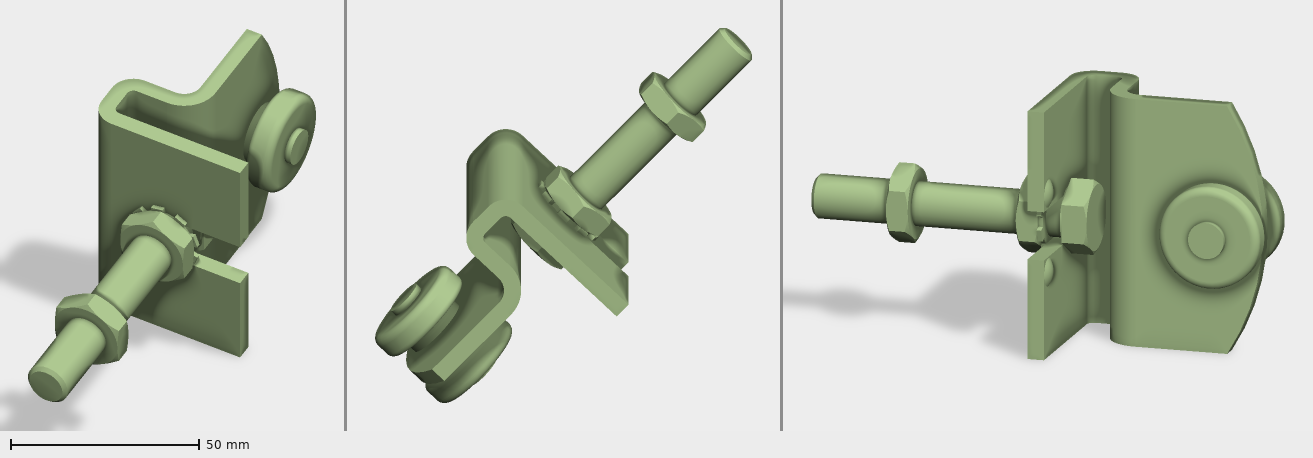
import cadquery as cq
import math


plate_thickness = 4.5
bracket_width = 45.5
bracket_height = 68.0
fold_depth = 18.7
fold_outer_radius = 6.5
fold_inner_radius = fold_outer_radius - plate_thickness
step_inner_radius = 4.9
step_outer_radius = step_inner_radius + plate_thickness
roller_leg_end = 59.0
leg_end_radius = 63.2
slot_width = 13.3

dimple_radius = 3.8
dimple_height = 1.1
dimple_x = 18.8
dimple_slot_margin = 0.4
dimple_z = slot_width / 2 + dimple_slot_margin + dimple_radius

pin_diameter = 9.9
pin_length = 29.6
flange_diameter = 28.0
flange_inner_x = 5.8
flange_outer_x = 13.0
flange_outer_fillet = 2.1
flange_inner_fillet = 1.6
hub_diameter = 17.0
hub_clearance = 0.3
roller_y = 47.0

bolt_diameter = 12.0
bolt_tip_chamfer = 1.0
overall_length = 126.5
bolt_tip_y = roller_y + flange_diameter / 2 - overall_length
head_across_flats = 18.0
head_height = 7.0
head_collar_diameter = 16.7
head_collar_height = 0.6

nut_across_flats = 19.0
nut_thickness = 6.1
hex_sides = 6
hex_half_angle = 180 / hex_sides
hex_chamfer_angle = 30.0
jam_nut_y = -37.3
washer_thickness = 1.3
washer_ring_diameter = 17.7
washer_diameter = 21.0
tooth_count = 9
tooth_width = 3.5


def cylinder_y(diameter, y_low, y_high):
    """Cylinder along the bolt axis between two Y positions."""
    return cq.Workplane("XZ", origin=(0, y_high, 0)).circle(diameter / 2).extrude(y_high - y_low)


def cylinder_x(diameter, x_low, x_high):
    """Cylinder along the roller axis between two X positions."""
    return cq.Workplane("YZ", origin=(x_low, roller_y, 0)).circle(diameter / 2).extrude(x_high - x_low)


def hexagon_y(across_flats, y_low, y_high, chamfer_low, chamfer_high):
    """Hexagon along Y with corners at +Z and -Z and turned-down corners on the chosen ends."""
    flat_radius = across_flats / 2
    corner_radius = flat_radius / math.cos(math.radians(hex_half_angle))
    drop = (corner_radius - flat_radius) * math.tan(math.radians(hex_chamfer_angle))
    prism = (
        cq.Workplane("XZ", origin=(0, y_high, 0))
        .transformed(rotate=(0, 0, hex_half_angle))
        .polygon(hex_sides, 2 * corner_radius)
        .extrude(y_high - y_low)
    )
    outline = [(0, y_low)]
    if chamfer_low:
        outline += [(flat_radius, y_low), (corner_radius, y_low + drop)]
    else:
        outline += [(corner_radius, y_low)]
    if chamfer_high:
        outline += [(corner_radius, y_high - drop), (flat_radius, y_high)]
    else:
        outline += [(corner_radius, y_high)]
    outline += [(0, y_high)]
    envelope = cq.Workplane("XY").polyline(outline).close().revolve(360, (0, 0, 0), (0, 1, 0))
    return prism.intersect(envelope)


def make_bracket():
    """Folded plate with a rounded roller leg and a leg slotted for the bolt."""
    half_width = bracket_width / 2
    half_plate = plate_thickness / 2
    left_inner = -half_width + plate_thickness
    fold_inner_y = fold_depth - plate_thickness
    step_center_x = half_plate - step_outer_radius
    step_top_y = fold_depth + step_inner_radius
    plate = (
        cq.Workplane("XY", origin=(0, 0, -bracket_height / 2))
        .moveTo(half_width, 0)
        .lineTo(-half_width + fold_outer_radius, 0)
        .radiusArc((-half_width, fold_outer_radius), fold_outer_radius)
        .lineTo(-half_width, fold_depth - fold_outer_radius)
        .radiusArc((-half_width + fold_outer_radius, fold_depth), fold_outer_radius)
        .lineTo(step_center_x, fold_depth)
        .radiusArc((-half_plate, step_top_y), -step_inner_radius)
        .lineTo(-half_plate, roller_leg_end)
        .lineTo(half_plate, roller_leg_end)
        .lineTo(half_plate, step_top_y)
        .radiusArc((step_center_x, fold_inner_y), step_outer_radius)
        .lineTo(left_inner + fold_inner_radius, fold_inner_y)
        .radiusArc((left_inner, fold_inner_y - fold_inner_radius), -fold_inner_radius)
        .lineTo(left_inner, plate_thickness + fold_inner_radius)
        .radiusArc((left_inner + fold_inner_radius, plate_thickness), -fold_inner_radius)
        .lineTo(half_width, plate_thickness)
        .close()
        .extrude(bracket_height)
    )
    end_disc = (
        cq.Workplane("YZ", origin=(-half_width, roller_leg_end - leg_end_radius, 0))
        .circle(leg_end_radius)
        .extrude(bracket_width)
    )
    lower_block = cq.Workplane("XY").box(bracket_width, 2 * step_top_y, bracket_height)
    plate = plate.intersect(end_disc.union(lower_block))
    slot_end = cylinder_y(slot_width, 0, plate_thickness)
    slot_run = cq.Workplane("XY").box(half_width, plate_thickness, slot_width, centered=(False, False, True))
    return plate.cut(slot_end).cut(slot_run)


def make_dimple(z):
    """Spherical cap on the inner face of the slotted leg, rooted in the plate."""
    sphere_radius = (dimple_radius**2 + dimple_height**2) / (2 * dimple_height)
    root_y = plate_thickness / 2
    return (
        cq.Workplane("XY")
        .moveTo(0, root_y)
        .lineTo(dimple_radius, root_y)
        .lineTo(dimple_radius, plate_thickness)
        .radiusArc((0, plate_thickness + dimple_height), -sphere_radius)
        .close()
        .revolve(360, (0, 0, 0), (0, 1, 0))
        .translate((dimple_x, 0, z))
    )


def make_roller():
    """Pin through the roller leg with a hub and a rounded flange on each side."""
    roller = cylinder_x(pin_diameter, -pin_length / 2, pin_length / 2)
    flange = cylinder_x(flange_diameter, flange_inner_x, flange_outer_x)
    flange = flange.faces(">X").edges().fillet(flange_outer_fillet)
    flange = flange.faces("<X").edges().fillet(flange_inner_fillet)
    hub = cylinder_x(hub_diameter, plate_thickness / 2 + hub_clearance, flange_outer_x)
    half = flange.union(hub)
    return roller.union(half).union(half.mirror("YZ"))


def make_bolt():
    """Hexagon bolt with a collar under the head."""
    collar_top = plate_thickness + head_collar_height
    head_top = collar_top + head_height
    shank = cylinder_y(bolt_diameter, bolt_tip_y, collar_top).faces("<Y").chamfer(bolt_tip_chamfer)
    collar = cylinder_y(head_collar_diameter, plate_thickness, collar_top)
    head = hexagon_y(head_across_flats, collar_top, head_top, False, True)
    return shank.union(collar).union(head)


def make_nut(top_y):
    """Hexagon nut chamfered on both faces."""
    return hexagon_y(nut_across_flats, top_y - nut_thickness, top_y, True, True)


def make_lock_washer():
    """Ring with evenly spaced outer teeth, one of them pointing to -X."""
    washer = cylinder_y(washer_ring_diameter, -washer_thickness, 0)
    tooth_length = (washer_diameter - bolt_diameter) / 2
    tooth_center_x = -(washer_diameter - tooth_length) / 2
    tooth = cq.Workplane("XY").box(tooth_length, washer_thickness, tooth_width)
    tooth = tooth.translate((tooth_center_x, -washer_thickness / 2, 0))
    for index in range(tooth_count):
        angle = index * 360 / tooth_count
        washer = washer.union(tooth.rotate((0, 0, 0), (0, 1, 0), angle))
    return washer


fastener = make_bolt().union(make_lock_washer())
for nut_y in (-washer_thickness, jam_nut_y):
    fastener = fastener.union(make_nut(nut_y))

result = make_bracket().union(make_roller())
for side in (-1, 1):
    result = result.union(make_dimple(side * dimple_z))
result = result.union(fastener)